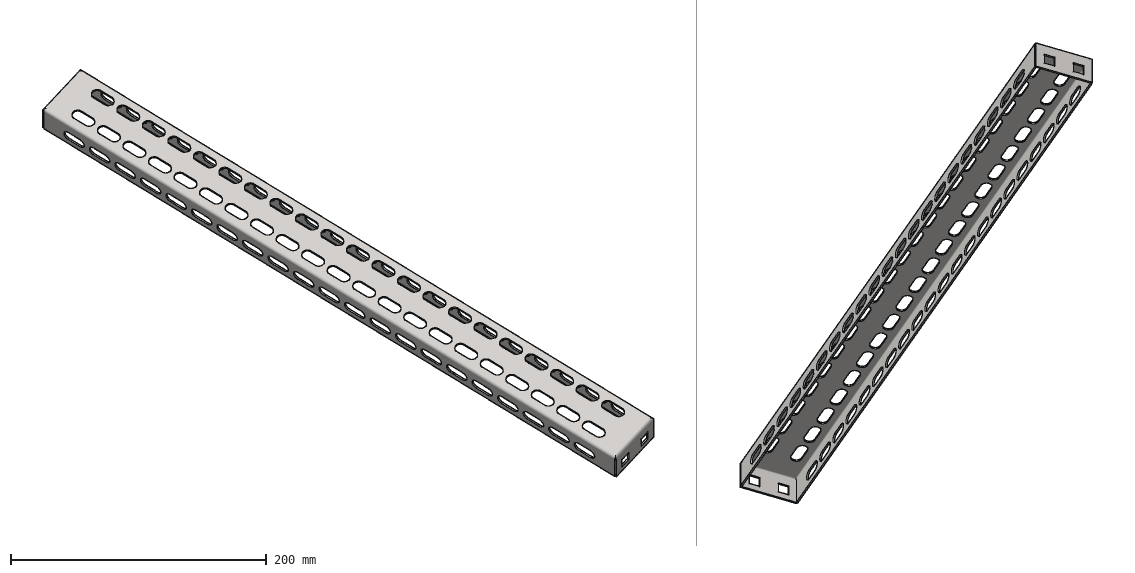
import cadquery as cq

length = 562.0
width = 49.5
height = 25.0
sheet_thickness = 1.5
inner_bend_radius = 1.0
outer_bend_radius = inner_bend_radius + sheet_thickness

slot_length = 20.0
slot_width = 9.0
slot_pitch = 25.0
slot_count = 21
web_row_spacing = 25.0

square_hole_size = 9.0
square_hole_spacing = 25.0

flange_hole_height = 10.0

corner_step_length = sheet_thickness
corner_step_depth = 0.5
corner_step_height = height - sheet_thickness


def rounded_block(block_length, block_width, block_height, bend_radius):
    """Block standing on Z = 0 with its four top edges rounded."""
    block = cq.Workplane("XY").rect(block_length, block_width).extrude(block_height)
    return block.faces(">Z").edges().fillet(bend_radius)


def make_tray():
    """Folded sheet: a top web with a flange down each of its four sides."""
    outside = rounded_block(length, width, height, outer_bend_radius)
    inside = rounded_block(
        length - 2 * sheet_thickness,
        width - 2 * sheet_thickness,
        height - sheet_thickness,
        inner_bend_radius,
    )
    return outside.cut(inside)


def make_web_slots():
    """Two rows of vertical slots through the top web."""
    return (
        cq.Workplane("XY")
        .rarray(slot_pitch, web_row_spacing, slot_count, 2)
        .slot2D(slot_length, slot_width)
        .extrude(height)
    )


def make_flange_slots():
    """One row of slots running across the tray through both long flanges."""
    return (
        cq.Workplane("XZ", origin=(0, 0, flange_hole_height))
        .rarray(slot_pitch, 1, slot_count, 1)
        .slot2D(slot_length, slot_width)
        .extrude(width / 2, both=True)
    )


def make_end_holes():
    """Two square holes running along the tray through both end flanges."""
    return (
        cq.Workplane("YZ", origin=(0, 0, flange_hole_height))
        .rarray(square_hole_spacing, 1, 2, 1)
        .rect(square_hole_size, square_hole_size)
        .extrude(length / 2, both=True)
    )


def make_corner_steps():
    """Shallow steps that set the four vertical corners in from the long flanges."""
    return (
        cq.Workplane("XY")
        .rarray(length - corner_step_length, width - corner_step_depth, 2, 2)
        .rect(corner_step_length, corner_step_depth)
        .extrude(corner_step_height)
    )


result = (
    make_tray()
    .cut(make_web_slots())
    .cut(make_flange_slots())
    .cut(make_end_holes())
    .cut(make_corner_steps())
)